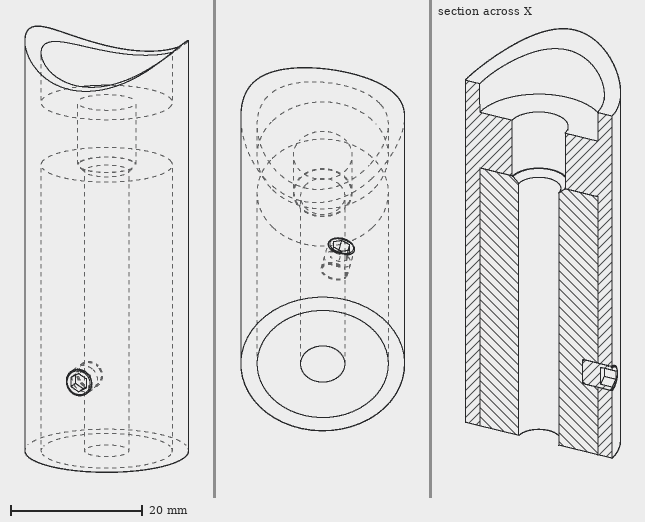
import cadquery as cq
import math

sleeve_diameter = 25.0
sleeve_height = 65.55
bore_diameter = 20.0
saddle_radius = 16.85

web_top = 55.0
web_thickness = 9.8
web_hole_diameter = 9.0

thread_hole_diameter = 6.75
countersink_diameter = 8.7
countersink_angle = 90.0

screw_diameter = 4.1
screw_height = 13.95
screw_length = 5.0
screw_chamfer = 0.2
socket_across_flats = 2.5
socket_depth = 1.95

sleeve_radius = sleeve_diameter / 2
saddle_axis_height = sleeve_height + math.sqrt(saddle_radius**2 - sleeve_radius**2)
insert_height = web_top - web_thickness
screw_face_y = -sleeve_radius
screw_tip_y = screw_face_y + screw_length
socket_across_corners = socket_across_flats / math.cos(math.radians(30))


def rod_along_y(diameter, start_y, end_y, height):
    """Round rod parallel to Y, on the X = 0 plane at the given height."""
    plane = cq.Plane(origin=(0, start_y, height), xDir=(1, 0, 0), normal=(0, 1, 0))
    return cq.Workplane(plane).circle(diameter / 2).extrude(end_y - start_y)


def make_screw_hole():
    """Space the set screw occupies, open through the outside of the sleeve."""
    return rod_along_y(screw_diameter, screw_face_y, screw_tip_y, screw_height)


def make_sleeve():
    """Sleeve bored from both ends, with a pierced web, a saddle top and a set screw hole."""
    sleeve = cq.Workplane("XY").circle(sleeve_radius).circle(bore_diameter / 2).extrude(sleeve_height)
    web = (
        cq.Workplane("XY", origin=(0, 0, insert_height))
        .circle(bore_diameter / 2)
        .circle(web_hole_diameter / 2)
        .extrude(web_thickness)
    )
    rail = rod_along_y(2 * saddle_radius, -sleeve_radius, sleeve_radius, saddle_axis_height)
    return sleeve.union(web).cut(rail).cut(make_screw_hole())


def make_insert():
    """Round insert with a countersunk thread hole through it and a seat for the set screw."""
    insert = (
        cq.Workplane("XY")
        .circle(bore_diameter / 2)
        .extrude(insert_height)
        .faces(">Z")
        .workplane()
        .cskHole(thread_hole_diameter, countersink_diameter, countersink_angle)
    )
    return insert.cut(make_screw_hole())


def make_set_screw():
    """Headless screw with chamfered ends and a hexagon socket in its outer face."""
    screw = rod_along_y(screw_diameter, screw_face_y, screw_tip_y, screw_height)
    screw = screw.faces("<Y or >Y").chamfer(screw_chamfer)
    socket_plane = cq.Plane(origin=(0, screw_face_y, screw_height), xDir=(0, 0, 1), normal=(0, 1, 0))
    socket = cq.Workplane(socket_plane).polygon(6, socket_across_corners).extrude(socket_depth)
    return screw.cut(socket)


sleeve = make_sleeve()
insert = make_insert()
set_screw = make_set_screw()

result = cq.Compound.makeCompound([sleeve.val(), insert.val(), set_screw.val()])